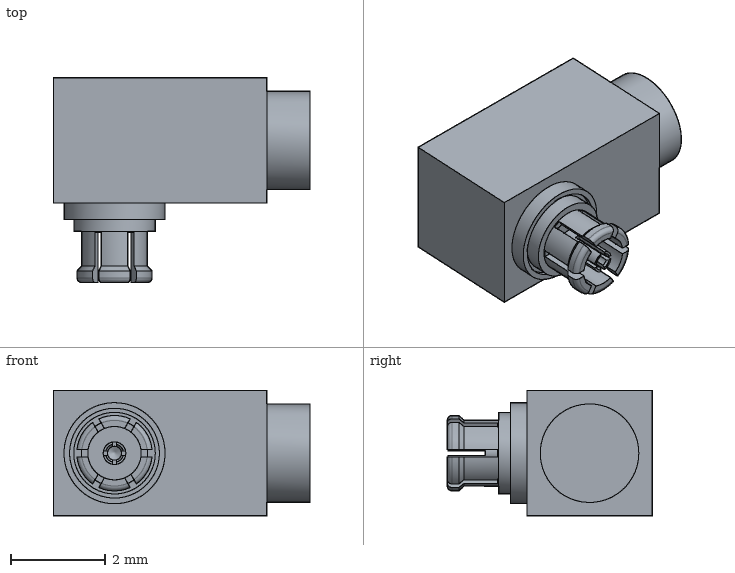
import cadquery as cq

overall_length = 5.46
housing_length = 4.54
housing_side = 2.67

port_radius = 1.05
port_length = overall_length - housing_length

connector_x = 1.3
flange_radius = 1.075
flange_reach = 0.35
groove_outer_radius = 0.955
groove_depth = 0.1
collar_radius = 0.87
collar_reach = 0.6

sleeve_radius = 0.705
sleeve_bore_radius = 0.57
sleeve_reach = 1.69
rim_radius = 0.8
rim_cone_start = 1.34
rim_cone_end = 1.44
rim_rounding = 0.105
sleeve_slot_width = 0.155
sleeve_slot_start = collar_reach + 0.03
sleeve_slot_count = 6

socket_radius = 0.24
socket_reach = sleeve_reach - 0.015
socket_bore_radius = 0.15
socket_mouth_radius = 0.19
socket_mouth_depth = 0.045
socket_slot_width = 0.095
socket_slot_start = 0.885
socket_slot_count = 4
socket_cone_depth = 0.08


def revolve_about_axis(profile):
    """Turn an XY profile (radius, -reach) about the Y axis."""
    return profile.close().revolve(360, (0, 0, 0), (0, 1, 0))


def disc(radius, start, end):
    """Cylinder on the connector axis between two reaches."""
    return cq.Workplane("XZ", origin=(0, -start, 0)).circle(radius).extrude(end - start)


def radial_slots(count, width, length, start, end):
    """Slots running outwards from the connector axis, evenly spaced from +X."""
    slots = cq.Workplane("XY")
    for index in range(count):
        slot = (
            cq.Workplane("XZ", origin=(0, -start, 0))
            .rect(length, width)
            .extrude(end - start)
            .translate((length / 2, 0, 0))
            .rotate((0, 0, 0), (0, 1, 0), index * 360 / count)
        )
        slots = slots.add(slot)
    return slots.combine()


def make_housing():
    block = cq.Workplane("XY").box(housing_length, housing_side, housing_side)
    port = block.faces(">X").workplane().circle(port_radius).extrude(port_length)
    return port.translate((housing_length / 2 - connector_x, housing_side / 2, 0))


def make_base():
    """Flange and collar, separated by a ring groove in the flange face."""
    flange = disc(flange_radius, 0, flange_reach)
    groove = disc(groove_outer_radius, flange_reach - groove_depth, flange_reach)
    collar = disc(collar_radius, 0, collar_reach)
    return flange.cut(groove).union(collar)


def make_sleeve():
    rounding_start = sleeve_reach - rim_rounding
    sleeve = revolve_about_axis(
        cq.Workplane("XY")
        .moveTo(sleeve_bore_radius, -collar_reach)
        .lineTo(sleeve_radius, -collar_reach)
        .lineTo(sleeve_radius, -rim_cone_start)
        .lineTo(rim_radius, -rim_cone_end)
        .lineTo(rim_radius, -rounding_start)
        .radiusArc((rim_radius - rim_rounding, -sleeve_reach), rim_rounding)
        .lineTo(sleeve_bore_radius, -sleeve_reach)
    )
    slots = radial_slots(
        sleeve_slot_count, sleeve_slot_width, 2 * rim_radius, sleeve_slot_start, sleeve_reach
    )
    return sleeve.cut(slots)


def make_socket():
    """Thin tube with a tapered mouth, a conical bore bottom and a cross of slots."""
    socket = disc(socket_radius, collar_reach, socket_reach)
    bore = revolve_about_axis(
        cq.Workplane("XY")
        .moveTo(0, -socket_reach)
        .lineTo(socket_mouth_radius, -socket_reach)
        .lineTo(socket_bore_radius, -socket_reach + socket_mouth_depth)
        .lineTo(socket_bore_radius, -socket_slot_start)
        .lineTo(0, -socket_slot_start + socket_cone_depth)
    )
    slots = radial_slots(
        socket_slot_count, socket_slot_width, 2 * socket_radius, socket_slot_start, socket_reach
    )
    return socket.cut(bore).cut(slots)


result = make_housing().union(make_base()).union(make_sleeve()).union(make_socket())